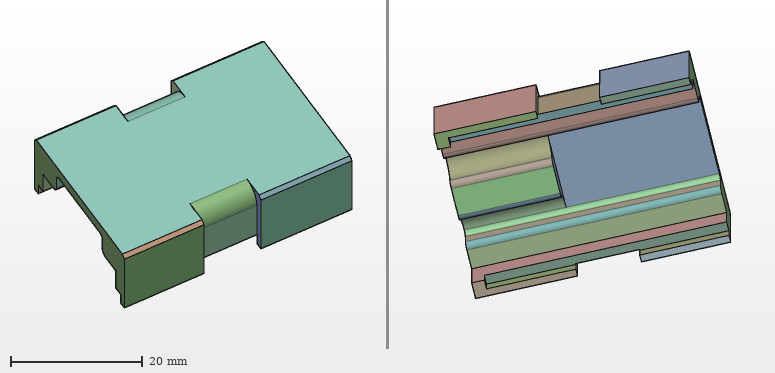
import cadquery as cq

width = 27.6
length = 39.95
height = 12.0
top_chamfer = 0.6

leg_thickness = 2.65
channel_height = 6.0
pocket_width = 14.0
pocket_height = 10.0
pocket_top_radius = 0.8
pocket_mouth_radius = 1.0

rib_width = 6.55
rib_root_radius = 2.9
rib_tip_radius = 1.0
rib_start = 23.95

lip_thickness = 1.15
rebate_height = 2.0
rebate_stop_length = 2.0

notch_start = 13.98
notch_length = 10.0
notch_depth = 1.28
notch_radius = 3.0


def box(x_min, x_max, y_min, y_max, z_min, z_max):
    """Box given by its limits along each axis."""
    size = (x_max - x_min, y_max - y_min, z_max - z_min)
    return cq.Workplane("XY").box(*size, centered=False).translate((x_min, y_min, z_min))


def centred_bar(bar_width, y_min, y_max, z_min, z_max):
    """Box centred on X."""
    return box(-bar_width / 2, bar_width / 2, y_min, y_max, z_min, z_max)


def make_shell():
    """Chamfered block with the channel and the pocket cut along its whole length."""
    block = centred_bar(width, 0, length, 0, height).edges("|Y and >Z").chamfer(top_chamfer)
    channel = centred_bar(width - 2 * leg_thickness, 0, length, 0, channel_height)
    pocket = centred_bar(pocket_width, 0, length, 0, pocket_height)
    pocket = pocket.edges("|Y and >Z").fillet(pocket_top_radius)
    half_pocket = pocket_width / 2
    margin = 0.4
    shell = block.cut(channel).cut(pocket)
    mouth_edges = cq.selectors.BoxSelector(
        (-half_pocket - margin, -margin, channel_height - margin),
        (half_pocket + margin, length + margin, channel_height + margin),
    )
    return shell.edges("|Y").edges(mouth_edges).fillet(pocket_mouth_radius)


def make_rib():
    """Rib with concave flares at its root and rounded corners at its tip."""
    half_rib = rib_width / 2
    half_root = half_rib + rib_root_radius
    root_bottom = pocket_height - rib_root_radius
    arc_reach = rib_root_radius * 0.5**0.5
    arc_x = half_root - arc_reach
    arc_z = root_bottom + arc_reach
    rib = (
        cq.Workplane("XZ")
        .moveTo(-half_root, pocket_height)
        .threePointArc((-arc_x, arc_z), (-half_rib, root_bottom))
        .lineTo(-half_rib, channel_height)
        .lineTo(half_rib, channel_height)
        .lineTo(half_rib, root_bottom)
        .threePointArc((arc_x, arc_z), (half_root, pocket_height))
        .close()
        .extrude(-(length - rib_start))
    )
    rib = rib.edges("|Y and <Z").fillet(rib_tip_radius)
    return rib.translate((0, rib_start, 0))


def make_notch():
    """Material outside the narrow waist, whose top corners are rounded."""
    notch_end = notch_start + notch_length
    waist = centred_bar(width - 2 * notch_depth, notch_start, notch_end, 0, height)
    waist = waist.edges("|Y and >Z").fillet(notch_radius)
    return centred_bar(width, notch_start, notch_end, 0, height).cut(waist)


rebate = centred_bar(width - 2 * lip_thickness, 0, length - rebate_stop_length, 0, rebate_height)

result = make_shell().union(make_rib()).cut(rebate).cut(make_notch())